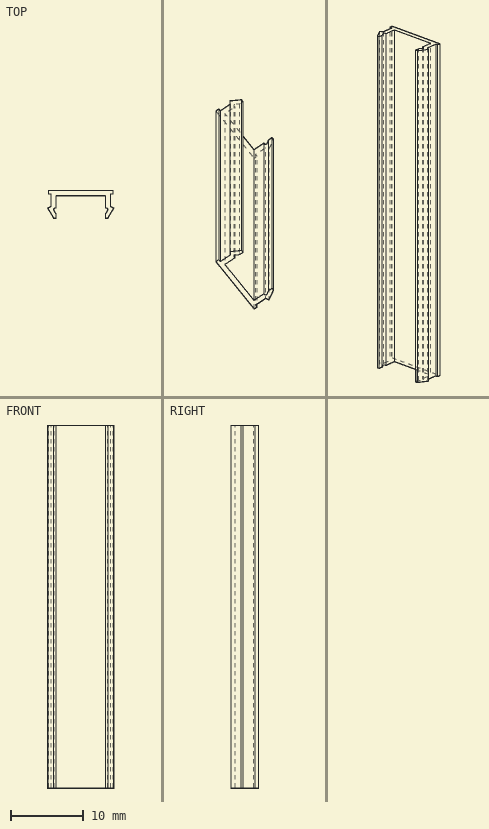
import cadquery as cq

length = 50.0
depth = 3.85
barb_span = 9.1

plate_width = 8.9
lip_thickness = 0.5
web_thickness = 0.75

leg_outer_span = 8.2
leg_inner_span = 6.75
leg_end_depth = 2.45

barb_root_depth = 2.2
barb_tip_depth = 2.45
notch_corner_span = 7.75
notch_radius = 0.2
foot_inner_depth = 3.25
foot_outer_span = 7.45

back_y = depth / 2


def profile_point(span, depth_from_back):
    """Point on the +X half of the profile, at half the given symmetric span."""
    return (span / 2, back_y - depth_from_back)


right_half = [
    profile_point(plate_width, 0),
    profile_point(plate_width, lip_thickness),
    profile_point(leg_outer_span, lip_thickness),
    profile_point(leg_outer_span, barb_root_depth),
    profile_point(barb_span, barb_tip_depth),
    profile_point(foot_outer_span, depth),
    profile_point(leg_inner_span, depth),
    profile_point(leg_inner_span, foot_inner_depth),
    profile_point(notch_corner_span, leg_end_depth),
    profile_point(leg_inner_span, leg_end_depth),
    profile_point(leg_inner_span, web_thickness),
]
left_half = [(-x, y) for x, y in reversed(right_half)]

channel = (
    cq.Workplane("XY")
    .polyline(right_half + left_half)
    .close()
    .extrude(length / 2, both=True)
)

notch_x, notch_y = profile_point(notch_corner_span, leg_end_depth)
result = channel
for side in (-1, 1):
    notch_corner = cq.selectors.NearestToPointSelector((side * notch_x, notch_y, 0))
    result = result.edges("|Z").edges(notch_corner).fillet(notch_radius)